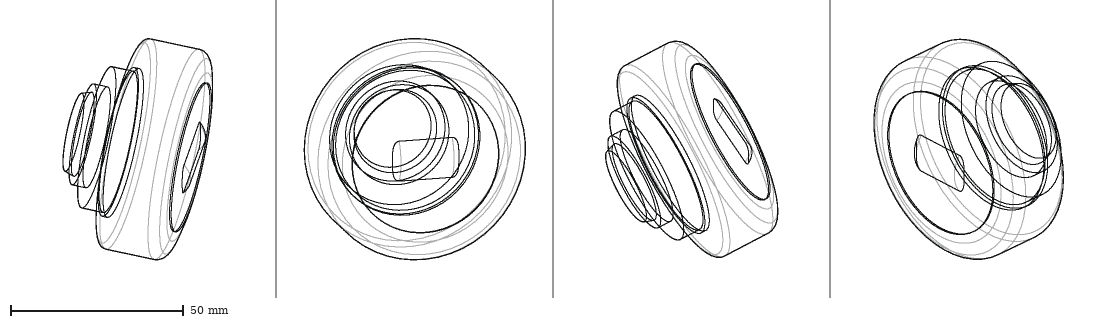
import cadquery as cq
import math

tip_length = 2.8
collar_end = 7.0
hub_end = 13.5
wheel_start = 15.0
wheel_end = 35.0
face_end = 35.5
overall_length = 37.5

tip_radius = 11.6
tip_base_radius = 12.5
collar_radius = 15.0
hub_radius = 21.0
flange_radius = 22.1
wheel_radius = 31.25
wheel_face_radius = 25.0

back_round = 1.5
front_round = 3.0
front_cone_angle = math.radians(15)

roller_radius = 10.0
roller_width = 20.0
roller_round = 2.0


def round_point(center_x, center_r, radius, angle):
    """Point on a profile round; angle runs from the +X direction towards the rim."""
    return (center_x + radius * math.cos(angle), center_r + radius * math.sin(angle))


def make_body():
    """Stepped stub, wheel and front face as one profile revolved about X."""
    back_x = wheel_start + back_round
    back_r = wheel_radius - back_round
    back_middle = round_point(back_x, back_r, back_round, math.radians(135))

    front_r = wheel_radius - front_round
    cone_start_r = front_r + front_round * math.sin(front_cone_angle)
    cone_start_x = wheel_end - (cone_start_r - wheel_face_radius) * math.tan(front_cone_angle)
    front_x = cone_start_x - front_round * math.cos(front_cone_angle)
    middle_angle = (front_cone_angle + math.pi / 2) / 2
    front_middle = round_point(front_x, front_r, front_round, middle_angle)

    profile = (
        cq.Workplane("XY")
        .moveTo(0, 0)
        .lineTo(0, tip_radius)
        .lineTo(tip_length, tip_base_radius)
        .lineTo(tip_length, collar_radius)
        .lineTo(collar_end, collar_radius)
        .lineTo(collar_end, hub_radius)
        .lineTo(hub_end, hub_radius)
        .lineTo(hub_end, flange_radius)
        .lineTo(wheel_start, flange_radius)
        .lineTo(wheel_start, back_r)
        .threePointArc(back_middle, (back_x, wheel_radius))
        .lineTo(front_x, wheel_radius)
        .threePointArc(front_middle, (cone_start_x, cone_start_r))
        .lineTo(wheel_end, wheel_face_radius)
        .lineTo(wheel_end, flange_radius)
        .lineTo(face_end, flange_radius)
        .lineTo(face_end, 0)
        .close()
    )
    return profile.revolve(360, (0, 0, 0), (1, 0, 0))


def make_roller():
    """Cylinder along Y with rounded end edges, just reaching the overall length."""
    return (
        cq.Workplane("XZ")
        .center(overall_length - roller_radius, 0)
        .circle(roller_radius)
        .extrude(roller_width / 2, both=True)
        .edges("%CIRCLE")
        .fillet(roller_round)
    )


result = make_body().union(make_roller())